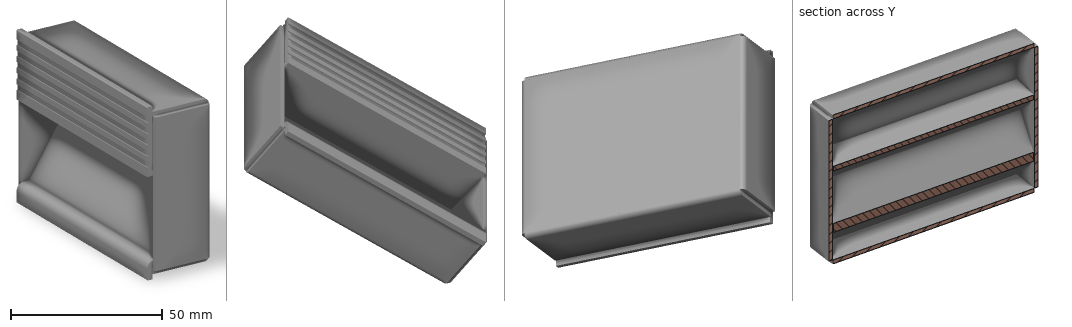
import cadquery as cq
import math

housing_width = 83.7
housing_height = 58.2
housing_depth = 22.0
wall = 1.7
corner_notch = 1.6
rear_round = 1.7

side_clearance = 0.2
insert_width = housing_width - 2 * (wall + side_clearance)
insert_height = 62.0
sheet = 2.0
flange_round = 0.3

grille_height = 25.0
groove_count = 5
groove_width = 2.0
groove_pitch = 2 * groove_width
groove_depth = 0.4
groove_margin = 3.5

lip_height = 7.0
lip_round = 3.0
ledge_depth = 5.0
recess_depth = 20.0
slope_rise = 23.0
ceiling_angle = 5.0

front_y = -sheet
insert_top = insert_height / 2
insert_bottom = -insert_top
grille_bottom = insert_top - grille_height
lip_top = insert_bottom + lip_height
recess_back_y = front_y + recess_depth


def block(width, y_start, y_end, z_start, z_end):
    """Box centred on X between the given Y and Z limits."""
    return (
        cq.Workplane("XY")
        .box(width, y_end - y_start, z_end - z_start, centered=(True, False, False))
        .translate((0, y_start, z_start))
    )


def make_housing():
    half_height = housing_height / 2
    side_half_height = half_height - corner_notch
    cavity_half_height = half_height - wall

    wide = block(housing_width, 0, housing_depth, -side_half_height, side_half_height)
    wide = wide.edges("|Z and >Y").fillet(rear_round)
    tall_width = housing_width - 2 * corner_notch
    tall = block(tall_width, 0, housing_depth, -half_height, half_height)
    tall = tall.edges("|X and >Y").fillet(rear_round)

    cavity_width = housing_width - 2 * wall
    cavity = block(cavity_width, 0, housing_depth - wall, -cavity_half_height, cavity_half_height)
    return wide.union(tall).cut(cavity)


def recess_outline():
    """Closed YZ outline of the recess, from the front face to its back wall."""
    ceiling_rise = recess_depth * math.tan(math.radians(ceiling_angle))
    return cq.Workplane("YZ", origin=(-insert_width / 2, 0, 0)).polyline([
        (front_y, lip_top),
        (front_y + ledge_depth, lip_top),
        (recess_back_y, lip_top + slope_rise),
        (recess_back_y, grille_bottom + ceiling_rise),
        (front_y, grille_bottom),
    ]).close()


def make_insert():
    recess = recess_outline().extrude(insert_width)
    trough = recess_outline().offset2D(sheet, "intersection").extrude(insert_width)
    trough = trough.intersect(
        block(insert_width, 0, housing_depth, insert_bottom, insert_top)
    )

    plate = block(insert_width, front_y, 0, insert_bottom, insert_top)
    plate = plate.edges("|X and <Y").fillet(flange_round)
    insert = plate.union(trough).cut(recess)

    lip_edge = cq.selectors.NearestToPointSelector((0, front_y, lip_top))
    insert = insert.edges(lip_edge).fillet(lip_round)

    for index in range(groove_count):
        groove_top = insert_top - groove_margin - index * groove_pitch
        groove = block(
            insert_width, front_y, front_y + groove_depth, groove_top - groove_width, groove_top
        )
        insert = insert.cut(groove)
    return insert


housing = make_housing()
insert = make_insert()

result = cq.Compound.makeCompound([housing.solids().val(), insert.solids().val()])